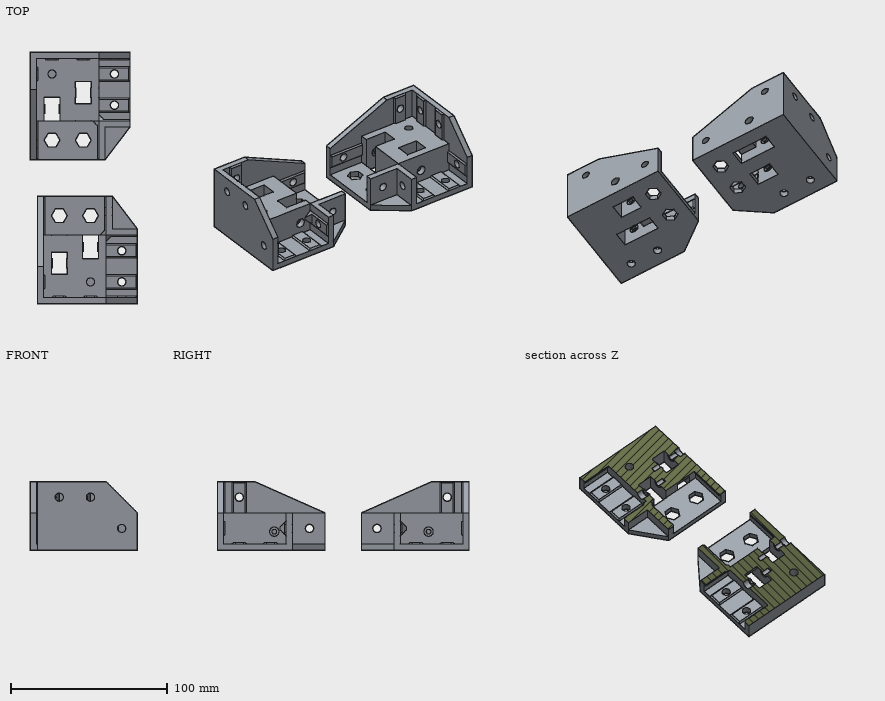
import cadquery as cq


TOTAL_LENGTH = 161.1
BRACKET_SHIFT = 4.7

WALL = 4.0
BAR = 20.0
SEAT_LENGTH = 25.0
SIDE_FLAT = 24.0

BLOCK_END = WALL + 2 * BAR
ARM_HEIGHT = WALL + BAR
WALL_HEIGHT = ARM_HEIGHT + BAR
INNER_WALL_END = BLOCK_END + WALL
WIDTH = BLOCK_END + BAR
DEPTH = BLOCK_END + SEAT_LENGTH

NEAR_BAR = WALL + BAR / 2
FAR_BAR = NEAR_BAR + BAR
ARM_BOLT_X = BLOCK_END + BAR / 2
SEAT_BOLT_Y = DEPTH - BAR / 2
LOW_LEVEL = WALL + BAR / 2
HIGH_LEVEL = ARM_HEIGHT + BAR / 2
BOLT_D = 5.2
HEX_D = 10.0
HEX_OFFSET = 12.4

TONGUE_ROOT = 9.5
TONGUE_RISE = 1.0
GUSSET_LEG = 4.0

SLOT_WIDTH = 10.0
SLOT_LENGTH = 14.0
NEAR_AXLE = 26.0
FAR_AXLE = 36.4
OPEN_SLOT_START = 29.0
AXLE_LEVEL = 12.0
AXLE_D = 3.0
HEAD_D = 6.0
HEAD_DEPTH = WALL
BOSS_RISE = 0.5
AXLE_REACH = 4.8
BELT_CHANNEL_TOP = 9.5

ALONG_X = (1, 0, 0)
ALONG_Y = (0, 1, 0)
UP = (0, 0, 1)
TOWARD_MINUS_X = (-1, 0, 0)
TOWARD_MINUS_Y = (0, -1, 0)


def box(x_range, y_range, z_range):
    (x0, x1), (y0, y1), (z0, z1) = x_range, y_range, z_range
    return cq.Workplane("XY").box(x1 - x0, y1 - y0, z1 - z0, centered=False).translate((x0, y0, z0))


def rod(start, direction, length, diameter):
    return cq.Workplane(cq.Solid.makeCylinder(diameter / 2, length, cq.Vector(*start), cq.Vector(*direction)))


def base_plate():
    outline = [(0, 0), (WIDTH, 0), (WIDTH, INNER_WALL_END), (INNER_WALL_END, DEPTH), (0, DEPTH)]
    return cq.Workplane("XY").polyline(outline).close().extrude(WALL)


def outer_wall(plane, length, flat, thickness):
    outline = [(0, 0), (length, 0), (length, ARM_HEIGHT), (flat, WALL_HEIGHT), (0, WALL_HEIGHT)]
    return cq.Workplane(plane).polyline(outline).close().extrude(thickness)


def shell():
    side_wall = outer_wall("YZ", DEPTH, SIDE_FLAT, WALL)
    end_wall = outer_wall("XZ", WIDTH, BLOCK_END, -WALL)
    block = box((0, BLOCK_END), (0, BLOCK_END), (0, ARM_HEIGHT))
    seat_wall = box((BLOCK_END, INNER_WALL_END), (BLOCK_END, DEPTH), (0, ARM_HEIGHT))
    arm_wall = box((BLOCK_END, WIDTH), (BLOCK_END, INNER_WALL_END), (0, ARM_HEIGHT))
    body = base_plate()
    for piece in (side_wall, end_wall, block, seat_wall, arm_wall):
        body = body.union(piece)
    return body


def flanked_bar(length, rise):
    """Bar along X on the XY plane whose flanks slope inward at 45 degrees."""
    root = TONGUE_ROOT / 2
    tip = root - rise
    outline = [(-root, 0), (root, 0), (tip, rise), (-tip, rise)]
    return cq.Workplane("YZ").polyline(outline).close().extrude(length)


def tongue(length):
    """Tongue along X with a 45 degree slope at its free end."""
    side = [(0, 0), (length, 0), (length - TONGUE_RISE, TONGUE_RISE), (0, TONGUE_RISE)]
    envelope = cq.Workplane("XZ").polyline(side).close().extrude(TONGUE_ROOT / 2, both=True)
    return flanked_bar(length, TONGUE_RISE).intersect(envelope)


def gusset():
    """Corner fill at the start of a tongue, cut off by a 45 degree face."""
    side = [(0, 0), (GUSSET_LEG, 0), (0, GUSSET_LEG)]
    envelope = cq.Workplane("XZ").polyline(side).close().extrude(TONGUE_ROOT / 2, both=True)
    return flanked_bar(GUSSET_LEG, GUSSET_LEG).intersect(envelope)


def placed(piece, start, along, outward):
    frame = cq.Plane(origin=start, xDir=along, normal=outward)
    return cq.Workplane(piece.val().moved(cq.Location(frame)))


def add_tongues(body):
    block_corner = (BLOCK_END, BLOCK_END, LOW_LEVEL)
    seat_tongues = [
        ((WALL, BLOCK_END, LOW_LEVEL), ALONG_Y, ALONG_X),
        (block_corner, ALONG_Y, TOWARD_MINUS_X),
    ]
    bar_tongues = [
        ((NEAR_BAR, WALL, ARM_HEIGHT), UP, ALONG_Y),
        ((FAR_BAR, WALL, ARM_HEIGHT), UP, ALONG_Y),
        ((WALL, NEAR_BAR, ARM_HEIGHT), UP, ALONG_X),
        ((BLOCK_END, WALL, LOW_LEVEL), ALONG_X, ALONG_Y),
        (block_corner, ALONG_X, TOWARD_MINUS_Y),
        ((BLOCK_END, NEAR_BAR, WALL), ALONG_X, UP),
        ((BLOCK_END, FAR_BAR, WALL), ALONG_X, UP),
    ]
    gussets = [
        (block_corner, ALONG_Y, TOWARD_MINUS_X),
        (block_corner, ALONG_X, TOWARD_MINUS_Y),
    ]
    groups = (
        (tongue(SEAT_LENGTH), seat_tongues),
        (tongue(BAR), bar_tongues),
        (gusset(), gussets),
    )
    for piece, places in groups:
        for start, along, outward in places:
            body = body.union(placed(piece, start, along, outward))
    return body


def cut_bolt_holes(body, block_bolt_x):
    through_wall = WALL + TONGUE_RISE
    holes = [
        ((NEAR_BAR, 0, HIGH_LEVEL), ALONG_Y, through_wall),
        ((FAR_BAR, 0, HIGH_LEVEL), ALONG_Y, through_wall),
        ((0, NEAR_BAR, HIGH_LEVEL), ALONG_X, through_wall),
        ((ARM_BOLT_X, 0, LOW_LEVEL), ALONG_Y, INNER_WALL_END),
        ((0, SEAT_BOLT_Y, LOW_LEVEL), ALONG_X, INNER_WALL_END),
        ((ARM_BOLT_X, NEAR_BAR, 0), UP, through_wall),
        ((ARM_BOLT_X, FAR_BAR, 0), UP, through_wall),
        ((block_bolt_x, NEAR_BAR, WALL), UP, ARM_HEIGHT - WALL),
    ]
    for start, direction, length in holes:
        body = body.cut(rod(start, direction, length, BOLT_D))
    return body


def cut_hex_holes(body):
    centres = [(x, BLOCK_END + HEX_OFFSET) for x in (NEAR_BAR, FAR_BAR)]
    return body.cut(cq.Workplane("XY").pushPoints(centres).polygon(6, HEX_D).extrude(WALL))


def slot_span(x):
    return (x - SLOT_WIDTH / 2, x + SLOT_WIDTH / 2)


def cut_pulley_slot(body, x, y_range, axle_y):
    """Slot through the full height that leaves a boss standing on each side of the pulley."""
    low, high = slot_span(x)
    slot = box((low, high), y_range, (0, ARM_HEIGHT))
    for side_x, inward in ((low, ALONG_X), (high, TOWARD_MINUS_X)):
        slot = slot.cut(rod((side_x, axle_y, AXLE_LEVEL), inward, BOSS_RISE, HEAD_D))
    return body.cut(slot)


def cut_axle(body, x, axle_y):
    """Counterbored axle hole, entered from the block side nearest to the slot."""
    if x == NEAR_BAR:
        entry_x, inward = 0, ALONG_X
    else:
        entry_x, inward = BLOCK_END, TOWARD_MINUS_X
    start = (entry_x, axle_y, AXLE_LEVEL)
    bore_length = abs(x - entry_x) + SLOT_WIDTH / 2 + AXLE_REACH
    body = body.cut(rod(start, inward, bore_length, AXLE_D))
    return body.cut(rod(start, inward, HEAD_DEPTH, HEAD_D))


def cut_pulley_spaces(body, open_slot_x, closed_slot_x):
    closed_range = (NEAR_AXLE - SLOT_LENGTH / 2, NEAR_AXLE + SLOT_LENGTH / 2)
    open_range = (OPEN_SLOT_START, BLOCK_END)
    for x, y_range, axle_y in (
        (closed_slot_x, closed_range, NEAR_AXLE),
        (open_slot_x, open_range, FAR_AXLE),
    ):
        body = cut_pulley_slot(body, x, y_range, axle_y)
        body = cut_axle(body, x, axle_y)
    belt_channel = box(slot_span(closed_slot_x), (closed_range[1], BLOCK_END), (0, BELT_CHANNEL_TOP))
    return body.cut(belt_channel)


def bracket(open_slot_x, closed_slot_x):
    body = add_tongues(shell())
    body = cut_bolt_holes(body, block_bolt_x=open_slot_x)
    body = cut_hex_holes(body)
    return cut_pulley_spaces(body, open_slot_x, closed_slot_x)


front_bracket = bracket(open_slot_x=FAR_BAR, closed_slot_x=NEAR_BAR).translate((BRACKET_SHIFT, 0, 0))

rear_bracket = bracket(open_slot_x=NEAR_BAR, closed_slot_x=FAR_BAR)
rear_bracket = rear_bracket.mirror("XZ").translate((0, TOTAL_LENGTH, 0))

result = cq.Compound.makeCompound([front_bracket.val(), rear_bracket.val()])